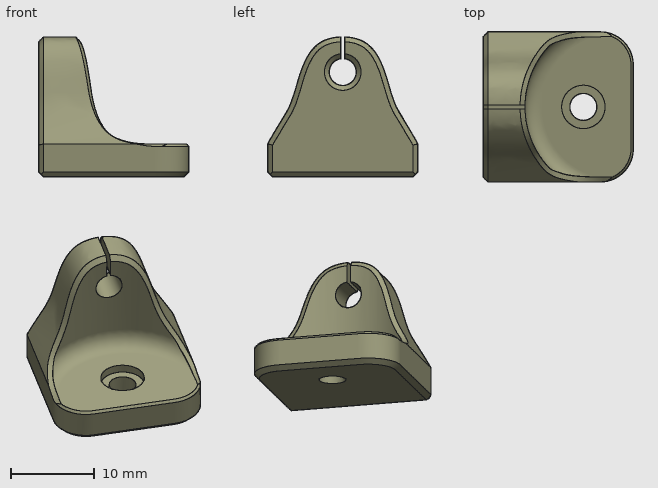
import cadquery as cq
import math

length = 18.0
width = 18.0
height = 16.78
plate_height = 3.96
corner_radius = 4.0
half_width = width / 2
corner_start_x = length - corner_radius

chamfer = 0.6
plate_chamfer = 0.29

flank_points = [(2.93, 15.93), (4.52, 13.86), (5.31, 11.74), (6.37, 8.46), (7.63, 6.26)]

floor_radius = 8.7
hollow_fillet = 2.0
hollow_radius = floor_radius + hollow_fillet
hollow_center_x = 15.71

rim_stations = 12
rim_end_x = 15.39
cutter_overhang = 0.05
cutter_reach = 1.44

hole_diameter = 3.2
clamp_hole_z = 12.56
slot_width = 0.45
screw_hole_x = 12.0
counterbore_diameter = 5.2
counterbore_depth = 1.0

right_flank = flank_points + [(half_width, plate_height)]
left_flank = [(-y, z) for y, z in reversed(right_flank)]
bell_points = left_flank + [(0, height)] + right_flank
bell_curve = cq.Edge.makeSpline([cq.Vector(0, y, z) for y, z in bell_points])


def make_upright():
    """Bell-shaped prism along X with its back edges chamfered."""
    back_outline = (
        cq.Workplane("YZ")
        .moveTo(-half_width, 0)
        .lineTo(*bell_points[0])
        .spline(bell_points[1:], includeCurrent=True)
        .lineTo(half_width, 0)
        .close()
    )
    return back_outline.extrude(corner_start_x).faces("<X").chamfer(chamfer)


def make_rounded_block(block_height):
    """Block on the plate footprint, with its front corners rounded."""
    block = cq.Workplane("XY").box(length, width, block_height, centered=(False, True, False))
    return block.edges("|Z and >X").fillet(corner_radius)


def make_plate_end():
    """Rounded front of the plate, with a small chamfer on top."""
    plate = make_rounded_block(plate_height).faces(">Z").chamfer(plate_chamfer)
    front_space = cq.Workplane("XY", origin=(corner_start_x, 0, 0)).box(
        corner_radius, width, plate_height, centered=(False, True, False)
    )
    return plate.intersect(front_space)


def make_hollow():
    """Cylinder with a rounded lower rim, standing on the plate."""
    return (
        cq.Workplane("XY", origin=(hollow_center_x, 0, plate_height))
        .circle(hollow_radius)
        .extrude(height)
        .faces("<Z")
        .edges()
        .fillet(hollow_fillet)
    )


def hollow_section_radius(z, floor_z, fillet):
    """Radius at height z of a hollow with the given floor and lower fillet."""
    below_wall = min(max(floor_z + fillet - z, 0), fillet)
    return floor_radius + math.sqrt(fillet**2 - below_wall**2)


def hollow_x(y, radius):
    """X of the back side of a hollow section circle at the given Y."""
    return hollow_center_x - math.sqrt(radius**2 - y**2)


def bevel_section(outer, inner, outward):
    """Corners of a triangle whose long side lies on the bevel and whose tip is in the open."""
    overhang = (outer - inner) * cutter_overhang
    tip = (outer + inner) * 0.5 + outward * cutter_reach
    return [outer + overhang, inner - overhang, tip]


def make_rim_cutter():
    """Wedge that bevels the +Y half of the rim, from the crown to the plate corner."""
    sections = []
    for station in range(rim_stations):
        place = 0.5 + 0.5 * station / (rim_stations - 1)
        bell = bell_curve.positionAt(place)
        tangent = bell_curve.tangentAt(place)
        bell_normal = cq.Vector(0, -tangent.z, tangent.y)

        outer_radius = hollow_section_radius(bell.z, plate_height - plate_chamfer, hollow_fillet + chamfer)
        outer = cq.Vector(hollow_x(bell.y, outer_radius), bell.y, bell.z)

        inset = bell - bell_normal * chamfer
        inner_y = min(inset.y, half_width - chamfer)
        inner_z = max(inset.z, plate_height)
        inner_radius = hollow_section_radius(inner_z, plate_height, hollow_fillet)
        inner = cq.Vector(hollow_x(inner_y, inner_radius), inner_y, inner_z)

        wall_share = min((inner_radius - floor_radius) / hollow_fillet, 1)
        hollow_normal = cq.Vector(wall_share, 0, math.sqrt(1 - wall_share**2))
        sections.append(bevel_section(outer, inner, bell_normal + hollow_normal))

    for outer_x, inner_x in ((corner_start_x - chamfer, corner_start_x), (rim_end_x, rim_end_x)):
        outer = cq.Vector(outer_x, half_width, plate_height - plate_chamfer)
        inner = cq.Vector(inner_x, half_width - chamfer, plate_height)
        sections.append(bevel_section(outer, inner, cq.Vector(0, 1, 1)))

    rails = [cq.Edge.makeSpline(list(corners)) for corners in zip(*sections)]
    sides = [cq.Face.makeRuledSurface(rails[i - 1], rails[i]) for i in range(len(rails))]
    caps = [
        cq.Face.makeFromWires(cq.Wire.makePolygon(section, close=True))
        for section in (sections[0], sections[-1])
    ]
    return cq.Workplane(cq.Solid.makeSolid(cq.Shell.makeShell(sides + caps)))


def make_clamp_cutter():
    """Hole along X, countersunk at the back, with a slot up through the crown."""
    hole = cq.Workplane("YZ").center(0, clamp_hole_z).circle(hole_diameter / 2).extrude(length)
    countersink = cq.Workplane(
        cq.Solid.makeCone(
            hole_diameter / 2 + chamfer,
            hole_diameter / 2,
            chamfer,
            pnt=cq.Vector(0, 0, clamp_hole_z),
            dir=cq.Vector(1, 0, 0),
        )
    )
    slot = (
        cq.Workplane("XY", origin=(0, 0, clamp_hole_z))
        .box(length, slot_width, height, centered=(False, True, False))
    )
    return hole.union(countersink).union(slot)


def make_screw_cutter():
    """Counterbored hole down through the plate."""
    hole = cq.Workplane("XY").center(screw_hole_x, 0).circle(hole_diameter / 2).extrude(plate_height)
    counterbore = (
        cq.Workplane("XY", origin=(screw_hole_x, 0, plate_height - counterbore_depth))
        .circle(counterbore_diameter / 2)
        .extrude(counterbore_depth)
    )
    return hole.union(counterbore)


rim_cutter = make_rim_cutter()
body = make_upright().cut(make_hollow()).union(make_plate_end())
body = body.intersect(make_rounded_block(height).faces("<Z").chamfer(chamfer))
body = body.cut(rim_cutter).cut(rim_cutter.mirror("XZ"))
result = body.cut(make_clamp_cutter()).cut(make_screw_cutter())